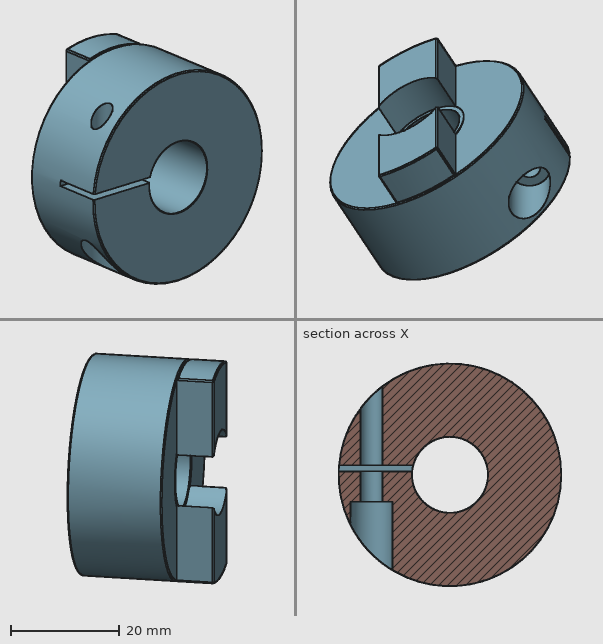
import cadquery as cq

outer_radius = 41.15 / 2
total_length = 24.78
jaw_height = 6.95
jaw_width = 12.5
edge_chamfer = 0.25
hub_length = total_length - jaw_height

bore_radius = 14.0 / 2
jaw_clearance_radius = 15.9 / 2
jaw_clearance_depth = 7.05
bore_rear_chamfer = 0.1

slit_length = 9.5
slit_width = 1.1
slit_center_z = 1.2

screw_x = 20.0
screw_y = -14.5
screw_hole_diameter = 4.0
screw_head_diameter = 7.7
screw_seat_z = -5.0


def x_cylinder(radius, start, length):
    """Cylinder on the X axis, starting at X = start."""
    return cq.Workplane("YZ", origin=(start, 0, 0)).circle(radius).extrude(length)


def screw_cylinder(diameter, bottom, top):
    """Cylinder on the screw axis between two heights."""
    base = cq.Workplane("XY", origin=(screw_x, screw_y, bottom))
    return base.circle(diameter / 2).extrude(top - bottom)


def make_hub():
    """Disc with its rear rim chamfered."""
    disc = x_cylinder(outer_radius, jaw_height, hub_length)
    return disc.faces(">X").edges().chamfer(edge_chamfer)


def make_jaw():
    """Upper jaw: a strip of the outer cylinder, from the axis up, with bevelled edges."""
    strip = cq.Workplane("XY").box(
        jaw_height, jaw_width, outer_radius, centered=(False, True, False)
    )
    jaw = strip.intersect(x_cylinder(outer_radius, 0, jaw_height))
    long_edges = jaw.faces(">Z").edges("|X")
    tip_edges = jaw.faces("<X").edges("not <Z")
    return long_edges.add(tip_edges).chamfer(edge_chamfer)


def make_rim_groove():
    """V-shaped ring where jaws and hub meet; it also chamfers the hub's front rim."""
    profile = cq.Workplane("XY").polyline([
        (jaw_height - edge_chamfer, outer_radius),
        (jaw_height, outer_radius - edge_chamfer),
        (jaw_height + edge_chamfer, outer_radius),
    ]).close()
    return profile.revolve(360, (0, 0, 0), (1, 0, 0))


def make_bore():
    """Shaft bore through the hub and the clearance between the jaws."""
    shaft_bore = x_cylinder(bore_radius, 0, total_length)
    rear_mouth = cq.Workplane(
        cq.Solid.makeCone(
            bore_radius,
            bore_radius + bore_rear_chamfer,
            bore_rear_chamfer,
            pnt=cq.Vector(total_length - bore_rear_chamfer, 0, 0),
            dir=cq.Vector(1, 0, 0),
        )
    )
    shaft_bore = shaft_bore.union(rear_mouth)
    return shaft_bore.union(x_cylinder(jaw_clearance_radius, 0, jaw_clearance_depth))


def make_slit():
    """Slot from inside the bore out through the -Y wall."""
    slit = cq.Workplane("XY").box(
        slit_length, outer_radius, slit_width, centered=(False, False, True)
    )
    return slit.translate((total_length - slit_length, -outer_radius, slit_center_z))


def make_screw_hole():
    """Through hole for the clamp screw with a head pocket from below."""
    hole = screw_cylinder(screw_hole_diameter, -outer_radius, outer_radius)
    head_pocket = screw_cylinder(screw_head_diameter, -outer_radius, screw_seat_z)
    return hole.union(head_pocket)


upper_jaw = make_jaw()
lower_jaw = upper_jaw.mirror("XY")
body = make_hub().union(upper_jaw).union(lower_jaw)
body = body.cut(make_rim_groove()).cut(make_bore())
result = body.cut(make_slit()).cut(make_screw_hole())